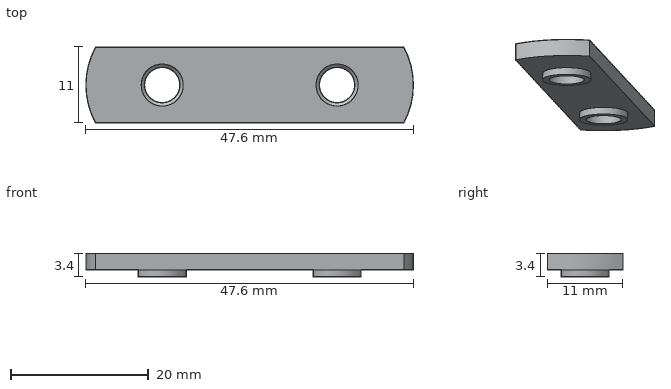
import cadquery as cq

overall_length = 47.6
straight_edge_length = 44.8
plate_width = 11.0
plate_thickness = 2.4

collar_spacing = 25.4
collar_diameter = 7.0
collar_height = 1.0
hole_diameter = 5.1
countersink_diameter = 6.1
countersink_angle = 90.0

collar_centers = [(-collar_spacing / 2, 0), (collar_spacing / 2, 0)]


def make_plate():
    """Flat strip with shallow arc ends, its underside on Z = 0."""
    half_length = overall_length / 2
    half_straight = straight_edge_length / 2
    half_width = plate_width / 2
    return (
        cq.Workplane("XY")
        .moveTo(-half_straight, -half_width)
        .lineTo(half_straight, -half_width)
        .threePointArc((half_length, 0), (half_straight, half_width))
        .lineTo(-half_straight, half_width)
        .threePointArc((-half_length, 0), (-half_straight, -half_width))
        .close()
        .extrude(plate_thickness)
    )


def add_collars(body):
    """Round collars hanging below the plate."""
    collars = (
        cq.Workplane("XY")
        .pushPoints(collar_centers)
        .circle(collar_diameter / 2)
        .extrude(-collar_height)
    )
    return body.union(collars)


def cut_holes(body):
    """Through holes, countersunk from the top face."""
    return (
        body.faces(">Z")
        .workplane(origin=(0, 0, plate_thickness))
        .pushPoints(collar_centers)
        .cskHole(hole_diameter, countersink_diameter, countersink_angle)
    )


result = cut_holes(add_collars(make_plate()))